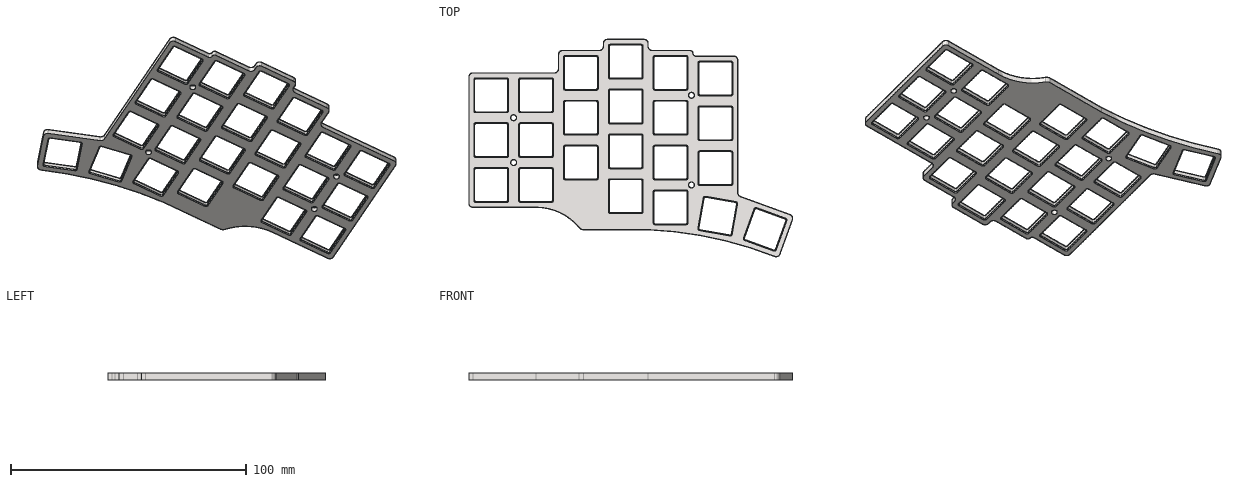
import cadquery as cq
import math

key_pitch = 19.05
half_pitch = key_pitch / 2
plate_thickness = 3.0

opening_size = 14.0
opening_corner_radius = 0.5
chamfer_size = 0.4
chamfer_angle = 45

stagger = key_pitch / 8
outer_bottom = 0.0
ring_bottom = 4 * stagger
middle_bottom = -2 * stagger
index_bottom = -4 * stagger
inner_bottom = 3 * stagger
columns = [
    (outer_bottom, 3),
    (outer_bottom, 3),
    (ring_bottom, 3),
    (middle_bottom, 4),
    (index_bottom, 4),
    (inner_bottom, 3),
]
plate_right = len(columns) * key_pitch

near_thumb = (105.75, -3.7, -10.0)
far_thumb = (125.9, -9.33, -20.0)

screw_diameter = 2.4
outer_screw_x = key_pitch
inner_screw_x = 94.6
screw_points = [
    (outer_screw_x, outer_bottom + key_pitch),
    (outer_screw_x, outer_bottom + 2 * key_pitch),
    (inner_screw_x, index_bottom + key_pitch),
    (inner_screw_x, index_bottom + 3 * key_pitch),
]

corner_radius = 1.75
small_step_radius = 1.15
palm_corner_radius = 2.5

palm_start_x = 1.5 * key_pitch
palm_end_x = 2.5 * key_pitch
thumb_flat_end_x = 4 * key_pitch


def column_top(index):
    bottom, key_count = columns[index]
    return bottom + key_count * key_pitch


def thumb_point(thumb, local_x, local_y):
    """Plate position of a point given in the rotated frame of a thumb key."""
    x, y, degrees = thumb
    angle = math.radians(degrees)
    return (
        x + local_x * math.cos(angle) - local_y * math.sin(angle),
        y + local_x * math.sin(angle) + local_y * math.cos(angle),
    )


def palm_curve_middle():
    """Middle point of the arc that leaves the bottom edge tangentially."""
    drop = outer_bottom - index_bottom
    run = palm_end_x - palm_start_x
    radius = (run**2 + drop**2) / (2 * drop)
    half_turn = math.atan2(drop, run)
    return (
        palm_start_x + radius * math.sin(half_turn),
        outer_bottom - radius * (1 - math.cos(half_turn)),
    )


def round_corners(body, points, radius):
    """Fillet the upright edges standing at the given outline points."""
    reach = 0.01
    edges = cq.Workplane("XY")
    for x, y in points:
        selector = cq.selectors.BoxSelector(
            (x - reach, y - reach, 0), (x + reach, y + reach, plate_thickness)
        )
        edges = edges.add(body.edges("|Z").edges(selector).vals())
    return body.newObject(edges.vals()).fillet(radius)


def make_blank():
    """Plate outline along the key cells, extruded and rounded at its corners."""
    far_top_right = thumb_point(far_thumb, half_pitch, half_pitch)
    far_bottom_right = thumb_point(far_thumb, half_pitch, -half_pitch)
    near_bottom = thumb_point(near_thumb, 0, -half_pitch)
    far_slope = math.tan(math.radians(far_thumb[2]))
    inner_corner = (plate_right, far_top_right[1] - far_slope * (far_top_right[0] - plate_right))
    palm_corner = (palm_end_x, index_bottom)
    thumb_flat_end = (thumb_flat_end_x, index_bottom)

    left_corners = [(0, outer_bottom), (0, column_top(0))]
    ring_corners = [(2 * key_pitch, column_top(0)), (2 * key_pitch, column_top(2))]
    middle_left = [(3 * key_pitch, column_top(2)), (3 * key_pitch, column_top(3))]
    middle_right = [(4 * key_pitch, column_top(3)), (4 * key_pitch, column_top(4))]
    small_step = [(5 * key_pitch, column_top(4)), (5 * key_pitch, column_top(5))]
    inner_corners = [(plate_right, column_top(5)), inner_corner]
    far_corners = [far_top_right, far_bottom_right]
    left_side = left_corners + ring_corners + middle_left + middle_right
    right_side = inner_corners + far_corners

    outline = cq.Workplane("XY").moveTo(palm_start_x, outer_bottom)
    for point in left_side + small_step + right_side:
        outline = outline.lineTo(*point)
    blank = (
        outline.threePointArc(near_bottom, thumb_flat_end)
        .lineTo(*palm_corner)
        .threePointArc(palm_curve_middle(), (palm_start_x, outer_bottom))
        .close()
        .extrude(plate_thickness)
    )

    blank = round_corners(blank, left_side + right_side, corner_radius)
    blank = round_corners(blank, small_step, small_step_radius)
    return round_corners(blank, [palm_corner], palm_corner_radius)


def rounded_square(size, radius):
    return cq.Sketch().rect(size, size).vertices().fillet(radius)


def make_switch_cutter():
    """Square through opening that flares out at 45 degrees towards both faces."""
    straight = rounded_square(opening_size, opening_corner_radius)
    flared = rounded_square(opening_size + 2 * chamfer_size, opening_corner_radius + chamfer_size)
    opening = cq.Workplane("XY").placeSketch(straight).extrude(plate_thickness)
    bottom_flare = cq.Workplane("XY").placeSketch(flared).extrude(chamfer_size, taper=chamfer_angle)
    top_flare = bottom_flare.mirror("XY").translate((0, 0, plate_thickness))
    return opening.union(top_flare).union(bottom_flare)


def switch_places():
    """Centre and rotation of every switch opening."""
    places = [near_thumb, far_thumb]
    for index, (bottom, key_count) in enumerate(columns):
        for row in range(key_count):
            places.append(((index + 0.5) * key_pitch, bottom + (row + 0.5) * key_pitch, 0))
    return places


def make_plate():
    plate = make_blank()
    cutter = make_switch_cutter()
    for x, y, degrees in switch_places():
        plate = plate.cut(cutter.rotate((0, 0, 0), (0, 0, 1), degrees).translate((x, y, 0)))
    screw_holes = (
        cq.Workplane("XY")
        .pushPoints(screw_points)
        .circle(screw_diameter / 2)
        .extrude(plate_thickness)
    )
    return plate.cut(screw_holes)


result = make_plate()